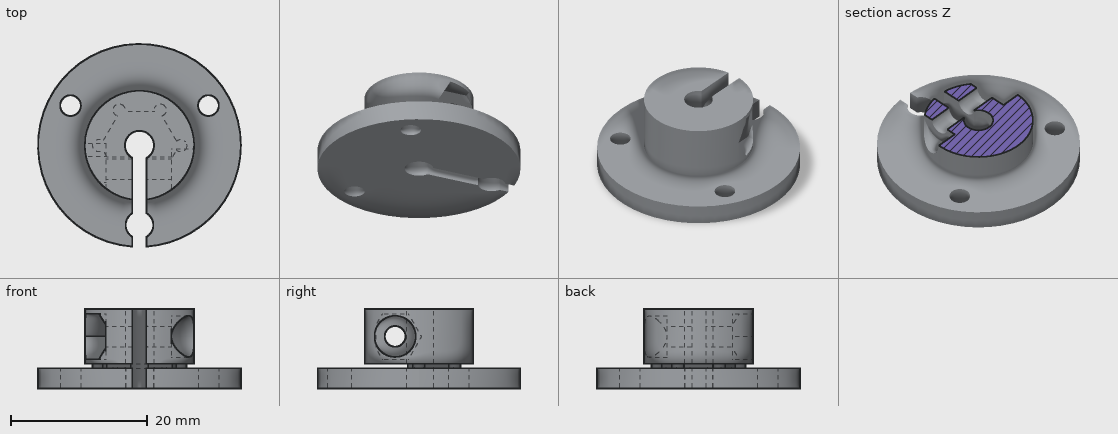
import cadquery as cq
import math

flange_diameter = 29.72
flange_thickness = 3.0
mount_hole_diameter = 3.0
wire_hole_diameter = 4.0
hole_circle_radius = 11.65

spacer_thickness = 0.62
spacer_across_flats = 10.0
lobe_diameter = 1.78
lobe_circle_radius = 6.0
spacer_front_y = -1.65

hub_diameter = 16.0
hub_height = 8.02
bore_diameter = 4.22
slot_width = 2.05

screw_y = -3.48
screw_hole_diameter = 3.0
head_diameter = 6.03
head_seat_x = 4.65
nut_across_flats = 6.63
nut_seat_x = -4.93

hub_bottom_z = flange_thickness + spacer_thickness
total_height = hub_bottom_z + hub_height
screw_z = hub_bottom_z + hub_height / 2
flange_radius = flange_diameter / 2
hub_radius = hub_diameter / 2


def cylinder(diameter, bottom_z, height, x=0.0, y=0.0):
    """Upright cylinder centred at (x, y)."""
    return cq.Workplane("XY", origin=(x, y, bottom_z)).circle(diameter / 2).extrude(height)


def polar_point(radius, angle_degrees):
    angle = math.radians(angle_degrees)
    return radius * math.cos(angle), radius * math.sin(angle)


def hexagon_corner_diameter(across_flats):
    return across_flats / math.cos(math.radians(30))


def make_spacer():
    """Lobed hexagon with corners on the X axis, cut off flat towards -Y."""
    spacer = (
        cq.Workplane("XY", origin=(0, 0, flange_thickness))
        .polygon(6, hexagon_corner_diameter(spacer_across_flats))
        .extrude(spacer_thickness)
    )
    for angle in range(0, 360, 60):
        x, y = polar_point(lobe_circle_radius, angle)
        spacer = spacer.union(cylinder(lobe_diameter, flange_thickness, spacer_thickness, x, y))
    kept_side = (
        cq.Workplane("XY", origin=(0, spacer_front_y + hub_radius, flange_thickness))
        .rect(hub_diameter, hub_diameter)
        .extrude(spacer_thickness)
    )
    return spacer.intersect(kept_side)


def make_slot():
    """Radial slot from the bore out through the -Y rim, over the full height."""
    return (
        cq.Workplane("XY")
        .center(0, -flange_radius / 2)
        .rect(slot_width, flange_radius)
        .extrude(total_height)
    )


def make_screw_cuts():
    """Through hole with a round head pocket on +X and a hexagonal nut pocket on -X."""
    hole = (
        cq.Workplane("YZ", origin=(-hub_radius, screw_y, screw_z))
        .circle(screw_hole_diameter / 2)
        .extrude(hub_diameter)
    )
    head_pocket = (
        cq.Workplane("YZ", origin=(head_seat_x, screw_y, screw_z))
        .circle(head_diameter / 2)
        .extrude(hub_radius - head_seat_x)
    )
    nut_pocket = (
        cq.Workplane("YZ", origin=(nut_seat_x, screw_y, screw_z))
        .polygon(6, hexagon_corner_diameter(nut_across_flats))
        .extrude(-hub_radius - nut_seat_x)
    )
    return hole.union(head_pocket).union(nut_pocket)


flange = cylinder(flange_diameter, 0, flange_thickness)
hub = cylinder(hub_diameter, hub_bottom_z, hub_height)
result = flange.union(make_spacer()).union(hub)

result = result.cut(cylinder(bore_diameter, 0, total_height)).cut(make_slot())

flange_holes = {30: mount_hole_diameter, 150: mount_hole_diameter, 270: wire_hole_diameter}
for angle, diameter in flange_holes.items():
    x, y = polar_point(hole_circle_radius, angle)
    result = result.cut(cylinder(diameter, 0, flange_thickness, x, y))

result = result.cut(make_screw_cuts())